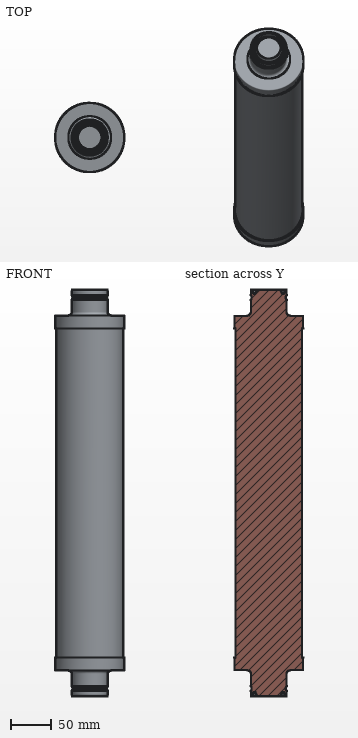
import cadquery as cq

total_length = 508.0
cap_diameter = 87.0
cap_radius = cap_diameter / 2

tube_radius = 42.0
cap_height = 16.0
cap_edge_fillet = 1.0

spigot_diameter = 45.0
spigot_radius = spigot_diameter / 2
spigot_length = 32.5
root_fillet = 4.0
root_step_height = 0.5
rim_chamfer_height = 2.5
rim_chamfer_width = 0.5

ring_groove_setback = 9.5
ring_groove_width = 6.0
ring_groove_floor_width = 1.5
ring_groove_depth = 1.0

plug_radius = 14.5
plug_root_radius = 17.5
face_groove_floor_radius = 19.0
face_groove_outer_radius = 20.5
face_groove_depth = 5.0

half_length = total_length / 2
cap_top = half_length - spigot_length


def cylinder(radius, bottom, top):
    """Cylinder on the Z axis between two heights."""
    return cq.Workplane("XY").workplane(offset=bottom).circle(radius).extrude(top - bottom)


def revolve(profile):
    """Turn a profile of (radius, height) about the Z axis."""
    return profile.close().revolve(360, (0, 0, 0), (0, 1, 0))


def make_cap():
    cap = cylinder(cap_radius, cap_top - cap_height, cap_top)
    return cap.faces(">Z").edges().fillet(cap_edge_fillet)


def make_spigot():
    spigot = cylinder(spigot_radius, cap_top, half_length)
    return spigot.faces(">Z").edges().chamfer(rim_chamfer_height, rim_chamfer_width)


def make_root():
    step_radius = spigot_radius + root_fillet
    step_top = cap_top + root_step_height
    profile = (
        cq.Workplane("XZ")
        .moveTo(0, cap_top)
        .lineTo(step_radius, cap_top)
        .lineTo(step_radius, step_top)
        .radiusArc((spigot_radius, step_top + root_fillet), root_fillet)
        .lineTo(0, step_top + root_fillet)
    )
    return revolve(profile)


def make_ring_groove():
    middle = half_length - ring_groove_setback
    floor_radius = spigot_radius - ring_groove_depth
    profile = cq.Workplane("XZ").polyline([
        (spigot_radius, middle + ring_groove_width / 2),
        (floor_radius, middle + ring_groove_floor_width / 2),
        (floor_radius, middle - ring_groove_floor_width / 2),
        (spigot_radius, middle - ring_groove_width / 2),
    ])
    return revolve(profile)


def make_face_groove():
    profile = cq.Workplane("XZ").polyline([
        (plug_radius, half_length),
        (plug_root_radius, half_length - face_groove_depth),
        (face_groove_floor_radius, half_length - face_groove_depth),
        (face_groove_outer_radius, half_length),
    ])
    return revolve(profile)


def make_end():
    end = make_cap().union(make_spigot()).union(make_root())
    return end.cut(make_ring_groove()).cut(make_face_groove())


upper_end = make_end()
tube_half_length = cap_top - cap_height / 2
tube = cylinder(tube_radius, -tube_half_length, tube_half_length)
result = tube.union(upper_end).union(upper_end.mirror("XY"))